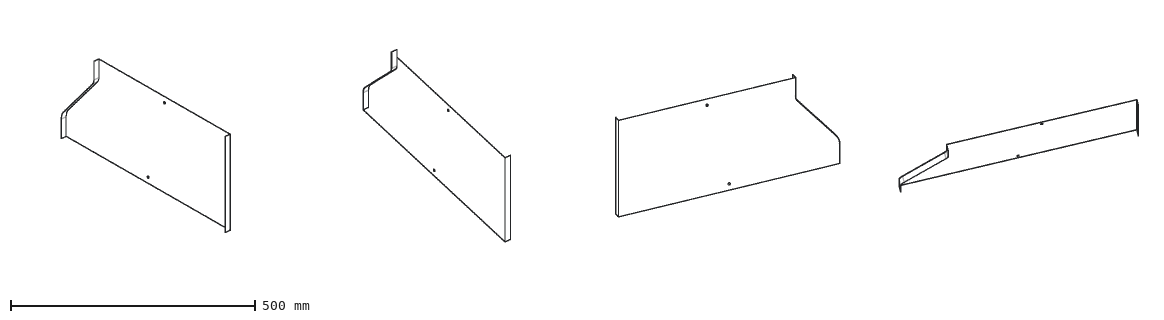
import cadquery as cq

length = 502.0
height = 230.0
depth = 14.0
sheet = 0.8

slope_run = 100.0
slope_rise = 120.0
low_corner_z = 58.6
low_radius = 32.0
high_radius = 18.0

hole_diameter = 5.0
hole_edge_distance = 15.0
low_hole_x = 251.0
hole_spacing_x = 50.0

high_corner_z = low_corner_z + slope_rise
high_hole_x = low_hole_x + hole_spacing_x


def outline_block():
    """Full-depth block with the outline of the plate, from Y = 0 to Y = depth."""
    corners = [
        (0, 0),
        (length, 0),
        (length, height),
        (slope_run, height),
        (slope_run, high_corner_z),
        (0, low_corner_z),
    ]
    block = cq.Workplane("XZ").polyline(corners).close().extrude(-depth)
    bends = [
        (0, low_corner_z, low_radius),
        (slope_run, high_corner_z, high_radius),
    ]
    for x, z, radius in bends:
        bend_edge = cq.selectors.NearestToPointSelector((x, depth / 2, z))
        block = block.edges("|Y").edges(bend_edge).fillet(radius)
    return block


def folded_sheet():
    """Back plate with flanges along the stepped left side and the straight right side.

    The block is hollowed to the sheet thickness, leaving front, bottom and top open.
    """
    return outline_block().faces("<Y or <Z or >Z").shell(-sheet)


def hole_cutter(x, z):
    """Round cutter through the plate along Y."""
    return cq.Workplane("XZ").center(x, z).circle(hole_diameter / 2).extrude(-depth)


result = (
    folded_sheet()
    .cut(hole_cutter(low_hole_x, hole_edge_distance))
    .cut(hole_cutter(high_hole_x, height - hole_edge_distance))
)